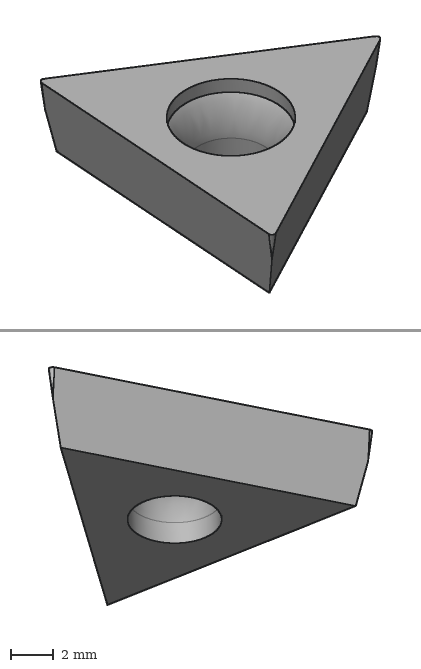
import cadquery as cq
import math

INSCRIBED_DIAMETER = 9.525
THICKNESS = 3.97
NOSE_RADIUS = 0.2
RELIEF_ANGLE = 7.0

BORE_DIAMETER = 4.4
COUNTERBORE_DIAMETER = 6.0
COUNTERBORE_DEPTH = 0.78
SEAT_HEIGHT = 2.07

CORNER_ANGLES = (90, 210, 330)

relief_slope = math.tan(math.radians(RELIEF_ANGLE))
inscribed_radius = INSCRIBED_DIAMETER / 2
nose_centre_distance = 2 * (inscribed_radius - NOSE_RADIUS)
nose_depth = NOSE_RADIUS / relief_slope


def polar(distance, angle):
    """Point at a distance and an angle (degrees) from the insert centre."""
    radians = math.radians(angle)
    return (distance * math.cos(radians), distance * math.sin(radians))


def nose_triangle(height):
    """Triangle through the three nose centres, drawn at the given height."""
    corners = [polar(nose_centre_distance, angle) for angle in CORNER_ANGLES]
    return cq.Workplane("XY", origin=(0, 0, height)).polyline(corners).close()


def make_upper_body():
    """Tapered body whose corners are cones running out to a point at the nose depth."""
    outline = nose_triangle(THICKNESS).offset2D(NOSE_RADIUS)
    return outline.extrude(-nose_depth, taper=RELIEF_ANGLE)


def make_lower_body():
    """Tapered body with sharp corners, continuing the relief down to the bottom face."""
    lower_height = THICKNESS - nose_depth
    return nose_triangle(lower_height).extrude(-lower_height, taper=RELIEF_ANGLE)


def make_hole_cutter():
    """Revolved screw hole whose convex seat runs tangentially into the bore."""
    bore_radius = BORE_DIAMETER / 2
    counterbore_radius = COUNTERBORE_DIAMETER / 2
    seat_top = THICKNESS - COUNTERBORE_DEPTH
    seat_bottom = seat_top - SEAT_HEIGHT
    seat_width = counterbore_radius - bore_radius
    arc_radius = (seat_width**2 + SEAT_HEIGHT**2) / (2 * seat_width)
    half_sweep = math.asin(SEAT_HEIGHT / arc_radius) / 2
    arc_middle = (
        bore_radius + arc_radius * (1 - math.cos(half_sweep)),
        seat_bottom + arc_radius * math.sin(half_sweep),
    )
    return (
        cq.Workplane("XZ")
        .moveTo(0, 0)
        .lineTo(bore_radius, 0)
        .lineTo(bore_radius, seat_bottom)
        .threePointArc(arc_middle, (counterbore_radius, seat_top))
        .lineTo(counterbore_radius, THICKNESS)
        .lineTo(0, THICKNESS)
        .close()
        .revolve(360, (0, 0, 0), (0, 1, 0))
    )


body = make_upper_body().union(make_lower_body(), clean=True)
result = body.cut(make_hole_cutter())